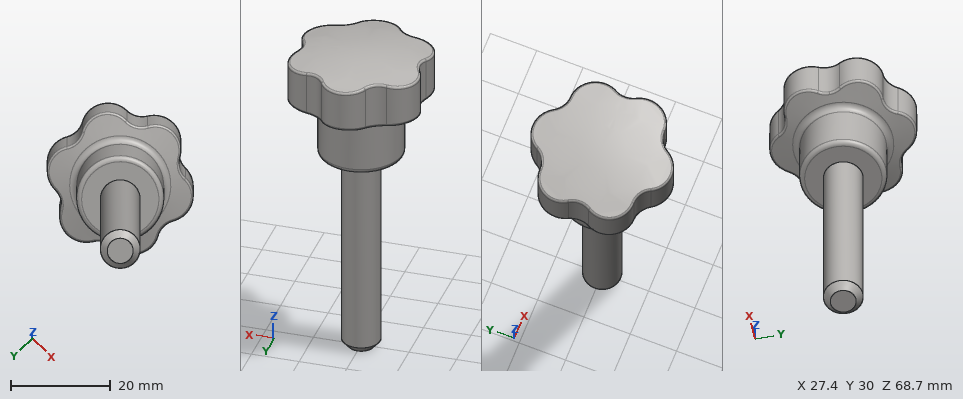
import cadquery as cq
import math

stem_diameter = 8.0
stem_length = 45.0
stem_tip_diameter = 5.2
stem_tip_height = 1.6
stem_embed = 1.0

hub_diameter = 17.5
hub_edge_radius = 1.0

lobe_count = 6
first_lobe_angle = 90.0
knob_radius = 15.0
lobe_radius = 5.3
valley_radius = 4.25

knob_top = 23.65
dome_drop = 1.5
underside_z = 12.45
underside_rise = 1.15
knob_edge_radius = 0.5
neck_fillet_radius = 1.4

hub_radius = hub_diameter / 2


def polar(radius, angle):
    """Point at the given radius and angle (degrees) about the Z axis."""
    return (
        radius * math.cos(math.radians(angle)),
        radius * math.sin(math.radians(angle)),
    )


def lobed_outline():
    """Closed outline of convex lobes joined by tangent concave valleys."""
    pitch = 360 / lobe_count
    lobe_center_radius = knob_radius - lobe_radius
    half_pitch = math.radians(pitch / 2)

    lobe_along = lobe_center_radius * math.cos(half_pitch)
    lobe_across = lobe_center_radius * math.sin(half_pitch)
    center_distance = lobe_radius + valley_radius
    valley_center = lobe_along + math.sqrt(center_distance**2 - lobe_across**2)

    share = lobe_radius / center_distance
    tangent_along = lobe_along + share * (valley_center - lobe_along)
    tangent_across = lobe_across * (1 - share)
    tangent_radius = math.hypot(tangent_along, tangent_across)
    tangent_angle = math.degrees(math.atan2(tangent_across, tangent_along))
    valley_floor = valley_center - valley_radius

    first_valley = first_lobe_angle - pitch / 2
    outline = cq.Workplane("XY").moveTo(*polar(tangent_radius, first_valley + tangent_angle))
    for index in range(lobe_count):
        lobe_angle = first_lobe_angle + index * pitch
        valley_angle = lobe_angle + pitch / 2
        outline = outline.threePointArc(
            polar(knob_radius, lobe_angle),
            polar(tangent_radius, valley_angle - tangent_angle),
        )
        outline = outline.threePointArc(
            polar(valley_floor, valley_angle),
            polar(tangent_radius, valley_angle + tangent_angle),
        )
    return outline.close()


def turned_blank():
    """Knob and hub before the lobes are cut: domed top, tapered underside, flared hub."""
    dome_radius = (knob_radius**2 + dome_drop**2) / (2 * dome_drop)
    neck_radius = hub_radius + neck_fillet_radius
    neck_start_z = underside_z - neck_fillet_radius
    taper = underside_rise / (knob_radius - neck_radius)
    rim_radius = knob_radius + lobe_radius
    rim_bottom = underside_z + taper * (rim_radius - neck_radius)

    def dome_height(radius):
        return knob_top - dome_radius + math.sqrt(dome_radius**2 - radius**2)

    return (
        cq.Workplane("XZ")
        .lineTo(hub_radius, 0)
        .lineTo(hub_radius, neck_start_z)
        .radiusArc((neck_radius, underside_z), neck_fillet_radius)
        .lineTo(rim_radius, rim_bottom)
        .lineTo(rim_radius, dome_height(rim_radius))
        .threePointArc((rim_radius / 2, dome_height(rim_radius / 2)), (0, knob_top))
        .close()
        .revolve()
    )


def make_knob():
    """Lobed head on its round hub, with the rims and the hub's lower edge rounded."""
    knob = turned_blank().intersect(lobed_outline().extrude(knob_top))
    knob = knob.edges("%BSPLINE").fillet(knob_edge_radius)
    return knob.faces("<Z").edges().fillet(hub_edge_radius)


def make_stem():
    """Plain pin below the hub with a tapered tip."""
    tip_radius = stem_tip_diameter / 2
    stem_radius = stem_diameter / 2
    return (
        cq.Workplane("XZ")
        .moveTo(0, stem_embed)
        .lineTo(stem_radius, stem_embed)
        .lineTo(stem_radius, stem_tip_height - stem_length)
        .lineTo(tip_radius, -stem_length)
        .lineTo(0, -stem_length)
        .close()
        .revolve()
    )


result = make_knob().union(make_stem())